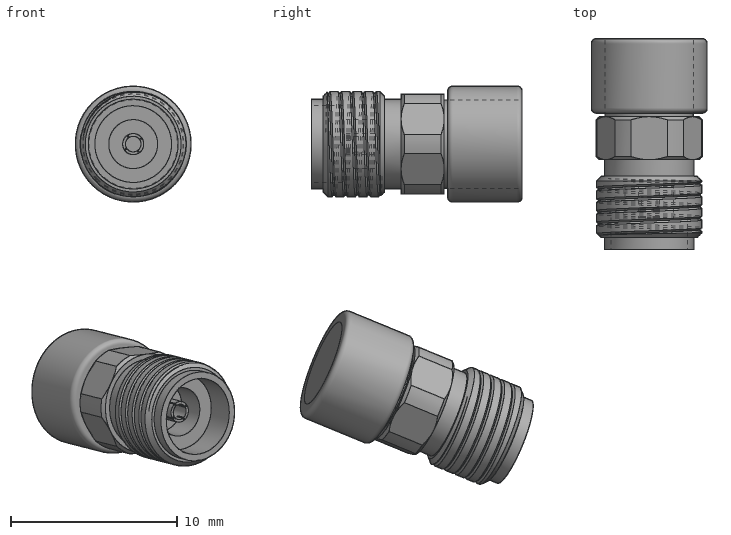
import cadquery as cq
import math

total_length = 12.7

barrel_radius = 2.7
thread_radius = 3.18
thread_start = 0.71
thread_end = 4.42
thread_chamfer = 0.29
thread_pitch = 0.7
groove_depth = 0.14
groove_width = 0.23
groove_start = -0.2
groove_turns = 7

hex_start = 5.41
hex_end = 8.0
hex_across_flats = 6.02
hex_corner_radius = 3.2
hex_chamfer = hex_corner_radius - hex_across_flats / 2

neck_radius = 2.67
nut_start = 8.2
nut_radius = 3.49
nut_edge_radius = 0.3

mouth_radius = 2.31
mouth_depth = 1.9
well_radius = 1.47
well_depth = 3.81
contact_radius = 0.64
contact_bore_radius = 0.47
contact_front = mouth_depth
contact_bore_depth = 1.27
slot_width = 0.08
slot_depth = 0.64
slot_angle = 34.0


def cylinder(radius, start, end):
    """Round bar about the Y axis between two Y positions."""
    return cq.Workplane("XZ", origin=(0, start, 0)).circle(radius).extrude(start - end)


def make_thread_groove():
    """V-shaped right-hand helical cutter, running past both ends of the thread."""
    overcut = 0.06
    outer_radius = thread_radius + overcut
    root_radius = thread_radius - groove_depth
    half_width = groove_width / 2 * (groove_depth + overcut) / groove_depth
    helix_length = groove_turns * thread_pitch
    root, upper, lower = [
        cq.Wire.makeHelix(thread_pitch, helix_length, radius, center=cq.Vector(0, 0, height))
        for radius, height in ((root_radius, 0), (outer_radius, half_width), (outer_radius, -half_width))
    ]
    flanks = [
        cq.Face.makeRuledSurface(first, second)
        for first, second in ((root, upper), (upper, lower), (lower, root))
    ]
    end_caps = []
    for end in (0, 1):
        corners = [edge.positionAt(end) for edge in (root, upper, lower)]
        end_caps.append(cq.Face.makeFromWires(cq.Wire.makePolygon(corners, close=True)))
    groove = cq.Solid.makeSolid(cq.Shell.makeShell(flanks + end_caps)).fix()
    return (
        cq.Workplane(obj=groove)
        .rotate((0, 0, 0), (1, 0, 0), -90)
        .translate((0, groove_start, 0))
    )


def make_thread():
    """Chamfered collar with the helical groove cut into it."""
    collar = cylinder(thread_radius, thread_start, thread_end).edges("%CIRCLE").chamfer(thread_chamfer)
    collar = collar.rotate((0, 0, 0), (0, 1, 0), 180)
    return collar.cut(make_thread_groove())


def make_wrench_hex():
    """Hexagon with flats facing +Z and -Z, its corners turned round and chamfered."""
    hex_diameter = hex_across_flats / math.cos(math.pi / 6)
    hexagon = (
        cq.Workplane("XZ", origin=(0, hex_start, 0))
        .polygon(6, hex_diameter)
        .extrude(hex_start - hex_end)
    )
    turned_blank = cylinder(hex_corner_radius, hex_start, hex_end).edges("%CIRCLE").chamfer(hex_chamfer)
    return hexagon.intersect(turned_blank)


def make_contact():
    """Hollow contact standing in the well, split into four fingers by crossed slots."""
    contact = cylinder(contact_radius, contact_front, well_depth)
    slot_length = 2 * contact_radius
    for angle in (slot_angle, slot_angle + 90):
        slot = (
            cq.Workplane("XY")
            .box(slot_length, slot_depth, slot_width)
            .translate((0, contact_front + slot_depth / 2, 0))
            .rotate((0, 0, 0), (0, 1, 0), -angle)
        )
        contact = contact.cut(slot)
    return contact


def make_housing():
    """Barrel, thread, hexagon and neck in one piece, with the stepped socket and contact."""
    housing = (
        cylinder(barrel_radius, 0, hex_start)
        .union(make_thread())
        .union(make_wrench_hex())
        .union(cylinder(neck_radius, hex_end, total_length))
    )
    housing = housing.cut(cylinder(mouth_radius, 0, mouth_depth))
    housing = housing.cut(cylinder(well_radius, mouth_depth, well_depth))
    housing = housing.union(make_contact())
    return housing.cut(cylinder(contact_bore_radius, contact_front, contact_front + contact_bore_depth))


def make_coupling_nut():
    """Round-edged sleeve fitting around the neck."""
    sleeve = cylinder(nut_radius, nut_start, total_length).edges("%CIRCLE").fillet(nut_edge_radius)
    return sleeve.cut(cylinder(neck_radius, nut_start, total_length))


housing = make_housing()
coupling_nut = make_coupling_nut()

result = cq.Compound.makeCompound([housing.val(), coupling_nut.val()])